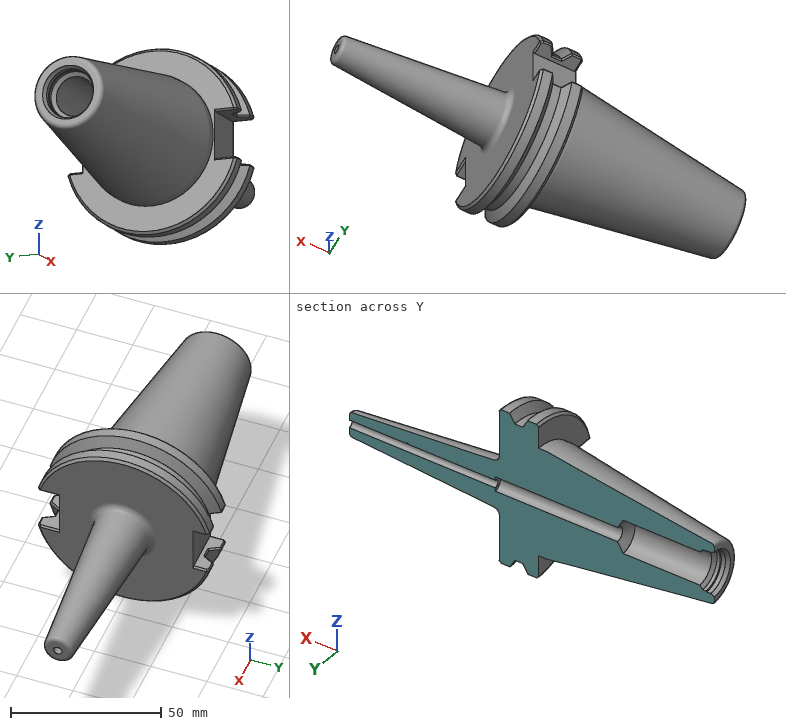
import cadquery as cq
import math

total_length = 148.2
gauge_x = 68.0
flange_start = 71.3
flange_end = 87.5

collar_radius = 44.5 / 2
taper_ratio = 7 / 24 / 2
taper_end_radius = collar_radius - gauge_x * taper_ratio
taper_end_round = 1.5

flange_radius = 63.5 / 2
flange_bevel = 0.9
groove_radius = 28.2
groove_middle = 79.5
groove_floor_width = 3.1
groove_top_width = 7.3

neck_radius = 19.5 / 2
nose_tip_radius = 10.2 / 2
neck_fillet = 2.4
nose_tip_round = 1.5

slot_width = 16.2
slot_edge_bevel = 0.6
slot_floor_plus_y = 24.9
slot_floor_minus_y = 22.7

mouth_radius = 18.4 / 2
counterbore_radius = 16.8 / 2
thread_radius = 16.3 / 2
pilot_radius = 13.5 / 2
cone_end_radius = 5.6 / 2
coolant_radius = 3.0 / 2
mouth_cone_depth = 1.5
counterbore_depth = 3.1
thread_start = 3.4
thread_depth = 4.7
pilot_start = 6.0
pilot_depth = 37.0
drill_point_half_angle = 60.0
cone_end_bore_depth = 89.0


def revolve_about_x(sketch):
    return sketch.revolve(360, (0, 0, 0), (1, 0, 0))


def make_taper():
    taper = revolve_about_x(
        cq.Workplane("XY")
        .lineTo(0, taper_end_radius)
        .lineTo(gauge_x, collar_radius)
        .lineTo(flange_start, collar_radius)
        .lineTo(flange_start, 0)
        .close()
    )
    return taper.faces("<X").edges().fillet(taper_end_round)


def make_flange():
    half_floor = groove_floor_width / 2
    half_top = groove_top_width / 2
    bevel_radius = flange_radius - flange_bevel
    flange = revolve_about_x(
        cq.Workplane("XY")
        .moveTo(flange_start, 0)
        .lineTo(flange_start, bevel_radius)
        .lineTo(flange_start + flange_bevel, flange_radius)
        .lineTo(groove_middle - half_top, flange_radius)
        .lineTo(groove_middle - half_floor, groove_radius)
        .lineTo(groove_middle + half_floor, groove_radius)
        .lineTo(groove_middle + half_top, flange_radius)
        .lineTo(flange_end - flange_bevel, flange_radius)
        .lineTo(flange_end, bevel_radius)
        .lineTo(flange_end, 0)
        .close()
    )
    for side, floor in ((1, slot_floor_plus_y), (-1, slot_floor_minus_y)):
        flange = cut_drive_slot(flange, side, floor)
    return flange


def cut_drive_slot(flange, side, floor):
    """Cut one drive slot and bevel the outline of its two walls, leaving the floor corners sharp."""
    slot_length = flange_end - flange_start
    slot_depth = flange_radius - floor
    slot = cq.Workplane("XY").box(slot_length, slot_depth, slot_width).translate(
        (flange_start + slot_length / 2, side * (floor + slot_depth / 2), 0)
    )
    flange = flange.cut(slot)
    wall_edges = []
    for wall in flange.faces("|Z").vals():
        if wall.Center().y * side > 0:
            for edge in wall.Edges():
                if abs(edge.Center().y - side * floor) > slot_edge_bevel:
                    wall_edges.append(edge)
    return flange.newObject(wall_edges).chamfer(slot_edge_bevel)


def make_nose():
    neck_start = flange_end + neck_fillet
    nose_root = neck_radius + neck_fillet
    arc_offset = neck_fillet * (1 - math.sqrt(0.5))
    nose = revolve_about_x(
        cq.Workplane("XY")
        .moveTo(flange_end, 0)
        .lineTo(flange_end, nose_root)
        .threePointArc(
            (flange_end + arc_offset, neck_radius + arc_offset),
            (neck_start, neck_radius),
        )
        .lineTo(total_length, nose_tip_radius)
        .lineTo(total_length, 0)
        .close()
    )
    return nose.faces(">X").edges().fillet(nose_tip_round)


def make_bore():
    cone_length = (pilot_radius - cone_end_radius) / math.tan(math.radians(drill_point_half_angle))
    return revolve_about_x(
        cq.Workplane("XY")
        .lineTo(0, mouth_radius)
        .lineTo(mouth_cone_depth, counterbore_radius)
        .lineTo(counterbore_depth, counterbore_radius)
        .lineTo(thread_start, thread_radius)
        .lineTo(thread_depth, thread_radius)
        .lineTo(pilot_start, pilot_radius)
        .lineTo(pilot_depth, pilot_radius)
        .lineTo(pilot_depth + cone_length, cone_end_radius)
        .lineTo(cone_end_bore_depth, cone_end_radius)
        .lineTo(cone_end_bore_depth, coolant_radius)
        .lineTo(total_length, coolant_radius)
        .lineTo(total_length, 0)
        .close()
    )


result = make_taper().union(make_flange()).union(make_nose()).cut(make_bore())